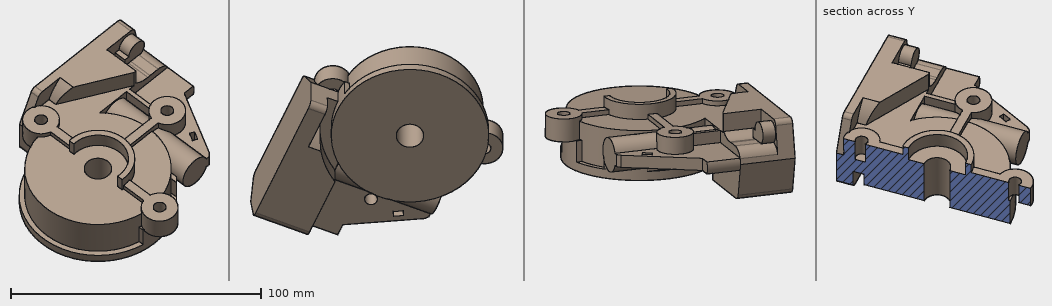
import cadquery as cq
import math

OVERALL_X = 83.54
OVERALL_Y = 92.74
OVERALL_Z = 31.5

FLANGE_DIAMETER = 62.99
FLANGE_RADIUS = FLANGE_DIAMETER / 2
FLANGE_TOP = 3.81
DRUM_RADIUS = 29.3
DRUM_TOP = 20.32
SHAFT_HOLE_DIAMETER = 10.92

RING_OUTER_RADIUS = 14.73
RING_INNER_RADIUS = 12.19
RING_TOP = 26.67
RING_END_Y = -1.27

BOSS_RADIUS = 7.37
BOSS_HOLE_DIAMETER = 5.08
BOSS_BOTTOM = 12.7
BOSS_TOP = 22.35
SIDE_BOSS_X = 32.95
SIDE_BOSS_Y = 1.4
REAR_BOSS_Y = 39.88
RIB_WIDTH = 3.81

MID_Z = BOSS_BOTTOM
BLOCK_TOP = MID_Z + OVERALL_Z / 2
BLOCK_BOTTOM = MID_Z - OVERALL_Z / 2
BLOCK_X_MIN = SIDE_BOSS_X + BOSS_RADIUS - OVERALL_X
BLOCK_X_MAX = -19.81
BLOCK_Y_MIN = -0.4
BLOCK_Y_MAX = OVERALL_Y - FLANGE_RADIUS
REAR_SLOPE_RUN = 3.17
FRONT_SLOPE_END_Y = 7.0
PROFILE_FILLET = 2.54
PLATE_X_MAX = -39.2

SLANT_FRONT = (-35.9, 11.6)
SLANT_REAR = (BLOCK_X_MAX, 41.4)

RELIEF_RADIUS = 19.5
NOTCH_TOP = 5.6
CLEARANCE_RADIUS = 36.0
NOTCH_X_MIN = -CLEARANCE_RADIUS

POCKET_X_MIN = -35.9
POCKET_Y_MIN = 42.4
HUMP_REAR_Y = 55.2
HUMP_FRONT_Y = 50.5
HUMP_RADIUS = BLOCK_Y_MAX - HUMP_REAR_Y
TROUGH_RADIUS = 11.4
TROUGH_Y = 49.3
STUB_X_MAX = -30.5
STUB_RADIUS = 4.5
STUB_Y = 53.9
STUB_Z = 22.5
STUB_FOOT_Y = 47.1

TUBE_RADIUS = 6.985
TUBE_Y = 30.4
TUBE_X_MAX = 24.6
WEB_THICKNESS = 5.08
WEB_STEP_X = -5.6
WEB_STEP_Y = 55.5
WEB_SLOPE_END = (23.2, 40.1)
WEB_CORNER_Y = 38.6
LEDGE_Y_MIN = 36.95
LEDGE_Y_MAX = 38.8
CABLE_SLOT_LENGTH = 4.0
CABLE_SLOT_WIDTH = 2.2
CABLE_SLOT_CENTER = (12.7, 41.9)
TUBE_FOOT_Y = 21.2


def box(x_range, y_range, z_range):
    """Box given by its (low, high) limits along each axis."""
    size = [high - low for low, high in (x_range, y_range, z_range)]
    corner = (x_range[0], y_range[0], z_range[0])
    return cq.Workplane("XY").box(*size, centered=False).translate(corner)


def cylinder(radius, z_min, z_max, center=(0, 0)):
    return cq.Workplane("XY", origin=(*center, z_min)).circle(radius).extrude(z_max - z_min)


def prism(points, z_min, z_max):
    return cq.Workplane("XY", origin=(0, 0, z_min)).polyline(points).close().extrude(z_max - z_min)


def x_rod(radius, y, z, x_min, x_max):
    return cq.Workplane("YZ", origin=(x_min, y, z)).circle(radius).extrude(x_max - x_min)


def side_profile(x_min, x_max):
    """Block with the side outline: long in Y, with a pointed rear end."""
    rear_y = BLOCK_Y_MAX - REAR_SLOPE_RUN
    outline = (
        cq.Workplane("YZ", origin=(x_min, 0, 0))
        .moveTo(BLOCK_Y_MIN, BLOCK_BOTTOM)
        .lineTo(rear_y, BLOCK_BOTTOM)
        .lineTo(BLOCK_Y_MAX, MID_Z)
        .lineTo(rear_y, BLOCK_TOP)
        .lineTo(FRONT_SLOPE_END_Y, BLOCK_TOP)
        .lineTo(BLOCK_Y_MIN, MID_Z)
        .close()
        .extrude(x_max - x_min)
    )
    rounded_corners = [
        (rear_y, BLOCK_BOTTOM),
        (rear_y, BLOCK_TOP),
        (FRONT_SLOPE_END_Y, BLOCK_TOP),
        (BLOCK_Y_MIN, BLOCK_BOTTOM),
    ]
    middle_x = (x_min + x_max) / 2
    for y, z in rounded_corners:
        nearest = cq.selectors.NearestToPointSelector((middle_x, y, z))
        outline = outline.edges("|X").edges(nearest).fillet(PROFILE_FILLET)
    return outline


def front_relief(x_min, z_range):
    """Space in front of the block, ending at a round wall about the tube axis."""
    space = box((x_min, BLOCK_X_MAX), (BLOCK_Y_MIN, TUBE_Y), z_range)
    return space.cut(x_rod(RELIEF_RADIUS, TUBE_Y, MID_Z, x_min, BLOCK_X_MAX))


def rear_pocket():
    """Material removed above the long round hump, the hollow trough and the stub."""
    span = (POCKET_X_MIN, BLOCK_X_MAX)
    hump_top = MID_Z + HUMP_RADIUS
    blank = box(span, (POCKET_Y_MIN, BLOCK_Y_MAX), (MID_Z, BLOCK_TOP))
    hump = box(span, (HUMP_FRONT_Y, HUMP_REAR_Y), (MID_Z, hump_top))
    for y in (HUMP_FRONT_Y, HUMP_REAR_Y):
        hump = hump.union(x_rod(HUMP_RADIUS, y, MID_Z, *span))
    trough_bottom = MID_Z + math.sqrt(HUMP_RADIUS**2 - (HUMP_FRONT_Y - TROUGH_Y) ** 2)
    trough_floor = box(span, (POCKET_Y_MIN, TROUGH_Y), (MID_Z, BLOCK_TOP)).cut(
        x_rod(TROUGH_RADIUS, TROUGH_Y, trough_bottom + TROUGH_RADIUS, *span)
    )
    stub_span = (POCKET_X_MIN, STUB_X_MAX)
    stub = x_rod(STUB_RADIUS, STUB_Y, STUB_Z, *stub_span)
    foot = box(stub_span, (STUB_FOOT_Y, STUB_Y), (MID_Z, STUB_Z))
    return blank.cut(hump).cut(trough_floor).cut(stub).cut(foot)


def lower_notch():
    """Clearance around the flange, open to the front of the block."""
    under = cylinder(CLEARANCE_RADIUS, BLOCK_BOTTOM, NOTCH_TOP)
    return under.union(front_relief(NOTCH_X_MIN, (BLOCK_BOTTOM, NOTCH_TOP)))


def side_block():
    """Side block with its slanted wall, reliefs and pocket cut away."""
    block = side_profile(BLOCK_X_MIN, BLOCK_X_MAX)
    slant_side = prism(
        [SLANT_FRONT, SLANT_REAR, (BLOCK_X_MAX, BLOCK_Y_MIN), (SLANT_FRONT[0], BLOCK_Y_MIN)],
        DRUM_TOP, BLOCK_TOP,
    )
    deck_relief = front_relief(PLATE_X_MAX, (DRUM_TOP, BLOCK_TOP))
    return block.cut(slant_side).cut(deck_relief).cut(rear_pocket()).cut(lower_notch())


def rear_web():
    """Flat web joining the block, the rear boss and the tube."""
    outline = [
        (BLOCK_X_MAX, TUBE_Y),
        (BLOCK_X_MAX, WEB_STEP_Y),
        (WEB_STEP_X, WEB_STEP_Y),
        WEB_SLOPE_END,
        (TUBE_X_MAX, WEB_CORNER_Y),
        (TUBE_X_MAX, TUBE_Y),
    ]
    z_range = (MID_Z - WEB_THICKNESS / 2, MID_Z + WEB_THICKNESS / 2)
    web = prism(outline, *z_range)
    rear_edge = box((BLOCK_X_MAX, WEB_STEP_X), (HUMP_REAR_Y, BLOCK_Y_MAX), z_range)
    rear_edge = rear_edge.intersect(x_rod(HUMP_RADIUS, HUMP_REAR_Y, MID_Z, BLOCK_X_MAX, WEB_STEP_X))
    web = web.union(rear_edge)
    slope = math.atan2(WEB_SLOPE_END[1] - WEB_STEP_Y, WEB_SLOPE_END[0] - WEB_STEP_X)
    slot = (
        cq.Workplane("XY")
        .rect(CABLE_SLOT_LENGTH, CABLE_SLOT_WIDTH)
        .extrude(BLOCK_TOP)
        .rotate((0, 0, 0), (0, 0, 1), math.degrees(slope))
        .translate((*CABLE_SLOT_CENTER, 0))
    )
    ledge = box((BLOCK_X_MAX, 0), (LEDGE_Y_MIN, LEDGE_Y_MAX), (MID_Z, DRUM_TOP))
    return web.cut(slot).union(ledge)


def drum():
    """Flanged drum, the pads under the side bosses and the deck that joins it to the block."""
    body = cylinder(FLANGE_RADIUS, 0, FLANGE_TOP).union(cylinder(DRUM_RADIUS, 0, DRUM_TOP))
    pad_ring = cylinder(FLANGE_RADIUS, 0, BOSS_BOTTOM)
    side_pads = box(
        (-FLANGE_RADIUS, FLANGE_RADIUS),
        (SIDE_BOSS_Y - BOSS_RADIUS, SIDE_BOSS_Y + BOSS_RADIUS),
        (0, BOSS_BOTTOM),
    )
    tube_foot = box((0, FLANGE_RADIUS), (TUBE_FOOT_Y, TUBE_Y), (0, BOSS_BOTTOM))
    deck = box((PLATE_X_MAX, BLOCK_X_MAX), (BLOCK_Y_MIN, TUBE_Y), (NOTCH_TOP, DRUM_TOP))
    pads = pad_ring.intersect(side_pads.union(tube_foot))
    return body.union(pads).union(deck)


def half_ring():
    """Half ring standing on the drum around the shaft hole."""
    ring = cylinder(RING_OUTER_RADIUS, DRUM_TOP, RING_TOP)
    ring = ring.cut(cylinder(RING_INNER_RADIUS, DRUM_TOP, RING_TOP))
    kept = box(
        (-RING_OUTER_RADIUS, RING_OUTER_RADIUS), (RING_END_Y, RING_OUTER_RADIUS), (DRUM_TOP, RING_TOP)
    )
    return ring.intersect(kept)


def ribs():
    """Ribs from the bosses to the ring, stopping at its inner wall."""
    half = RIB_WIDTH / 2
    cross = box(
        (-SIDE_BOSS_X, SIDE_BOSS_X), (SIDE_BOSS_Y - half, SIDE_BOSS_Y + half), (BOSS_BOTTOM, BOSS_TOP)
    )
    rear = box((-half, half), (0, REAR_BOSS_Y), (BOSS_BOTTOM, BOSS_TOP))
    return cross.union(rear).cut(cylinder(RING_INNER_RADIUS, DRUM_TOP, RING_TOP))


def boss_hole(center, bottom):
    return cylinder(BOSS_HOLE_DIAMETER / 2, bottom, BOSS_TOP, center)


side_boss_centers = [(-SIDE_BOSS_X, SIDE_BOSS_Y), (SIDE_BOSS_X, SIDE_BOSS_Y)]
rear_boss_center = (0, REAR_BOSS_Y)

result = drum().union(side_block()).union(rear_web())
result = result.union(x_rod(TUBE_RADIUS, TUBE_Y, MID_Z, BLOCK_X_MAX, TUBE_X_MAX))
result = result.union(half_ring()).union(ribs())
for center in side_boss_centers + [rear_boss_center]:
    result = result.union(cylinder(BOSS_RADIUS, BOSS_BOTTOM, BOSS_TOP, center))

for center in side_boss_centers:
    result = result.cut(boss_hole(center, BOSS_BOTTOM))
result = result.cut(boss_hole(rear_boss_center, 0))
result = result.cut(cylinder(SHAFT_HOLE_DIAMETER / 2, 0, DRUM_TOP))